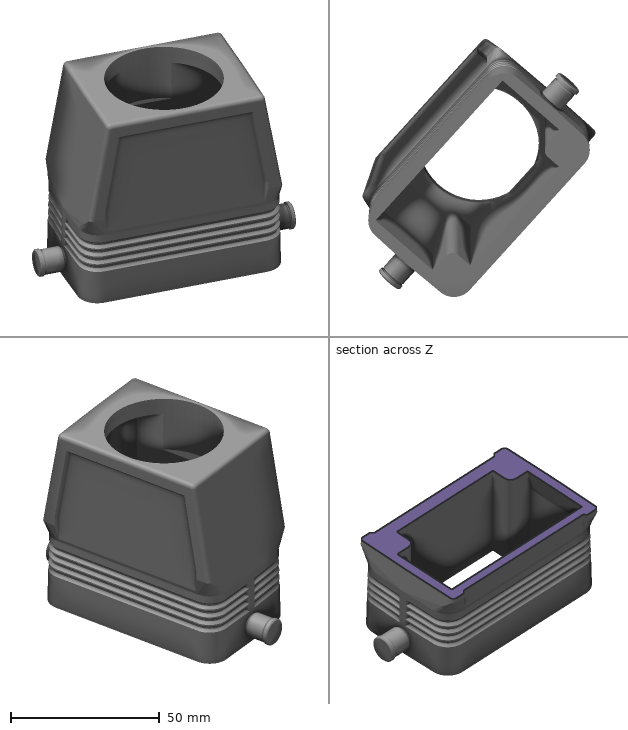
import cadquery as cq
import math


WIDTH = 45.0
LENGTH = 91.2
HEIGHT = 70.0

SKIRT_TOP = 26.5
SKIRT_HALF_WIDTH = 21.6
SKIRT_HALF_LENGTH = 36.5
SKIRT_CORNER_RADIUS = 7.0
DRAFT = math.tan(math.radians(1.0))
END_PEAK_ANGLE = math.radians(1.3)

GROOVE_COUNT = 4
GROOVE_START = 12.2
GROOVE_WIDTH = 2.5
GROOVE_DEPTH = 1.0
GROOVE_FLOOR = 0.6
GROOVE_PITCH = 3.0
WEB_HALF_WIDTH = 1.2

END_SLOPE = math.tan(math.radians(10.0))
BODY_PEAK_SLOPE = math.tan(math.radians(0.5))
BODY_FILLET = 1.55

FLARE_TOP = 33.3
FLARE_CORNER_RADIUS = 1.8
FLARE_END_SLOPE = math.tan(math.radians(6.2))

PANEL_DEPTH = 1.1
PANEL_TOP = 64.9
PANEL_KNEE = 36.0
PANEL_TOP_HALF_LENGTH = 24.35
PANEL_BASE_HALF_LENGTH = 29.3

ENTRY_RADIUS = 20.15
ENTRY_DEPTH = 20.2
ROOF_THICKNESS = 6.1
CAVITY_MIN_X = -18.0
CAVITY_MAX_X = 16.2
END_WALL = 3.8
PILLAR_MIN_X = 7.8
PILLAR_FACE_Y = 22.6
PILLAR_RADIUS = 3.0

PEG_Z = 6.5
PEG_RADIUS = 4.4
PEG_CHAMFER = 0.5
PEG_NECK_RADIUS = 4.0
PEG_NECK_LENGTH = 0.4
PEG_HEAD_RADIUS = 4.7
PEG_HEAD_LENGTH = 1.5
PEG_HEAD_CHAMFER = 0.4

HALF_WIDTH = WIDTH / 2
COLLAR_HALF_LENGTH = SKIRT_HALF_LENGTH - DRAFT * SKIRT_TOP
ROOF_UNDERSIDE = HEIGHT - ROOF_THICKNESS
WEB_ROOT_DEPTH = 2 * GROOVE_DEPTH
OVERSIZE = LENGTH


def peaked_outline(z, half_width, half_length, radius):
    """Rounded rectangle at height z whose two Y ends rise to a shallow central peak."""
    angle = END_PEAK_ANGLE
    center_x = half_width - radius
    center_y = half_length - center_x * math.tan(angle) - radius / math.cos(angle)
    end_x = center_x + radius * math.sin(angle)
    end_y = center_y + radius * math.cos(angle)
    mid_angle = (math.pi / 2 - angle) / 2
    mid_x = center_x + radius * math.cos(mid_angle)
    mid_y = center_y + radius * math.sin(mid_angle)
    outline = (
        cq.Workplane("XY", origin=(0, 0, z))
        .moveTo(half_width, -center_y)
        .lineTo(half_width, center_y)
        .threePointArc((mid_x, mid_y), (end_x, end_y))
        .lineTo(0, half_length)
        .lineTo(-end_x, end_y)
        .threePointArc((-mid_x, mid_y), (-half_width, center_y))
        .lineTo(-half_width, -center_y)
        .threePointArc((-mid_x, -mid_y), (-end_x, -end_y))
        .lineTo(0, -half_length)
        .lineTo(end_x, -end_y)
        .threePointArc((mid_x, -mid_y), (half_width, -center_y))
        .close()
    )
    return outline.val()


def skirt_outline(z, inset=0.0):
    """Skirt section at height z, moved inward by inset."""
    shrink = DRAFT * z + inset
    return peaked_outline(
        z, SKIRT_HALF_WIDTH - shrink, SKIRT_HALF_LENGTH - shrink, SKIRT_CORNER_RADIUS - inset
    )


def ruled_solid(outlines):
    return cq.Workplane(obj=cq.Solid.makeLoft(outlines, True))


def make_skirt():
    """Drafted skirt with trapezoidal grooves, interrupted by a web on each end."""
    wall_height = (GROOVE_WIDTH - GROOVE_FLOOR) / 2
    outlines = [skirt_outline(0)]
    for index in range(GROOVE_COUNT):
        start = GROOVE_START + index * GROOVE_PITCH
        outlines.append(skirt_outline(start))
        outlines.append(skirt_outline(start + wall_height, GROOVE_DEPTH))
        outlines.append(skirt_outline(start + wall_height + GROOVE_FLOOR, GROOVE_DEPTH))
        outlines.append(skirt_outline(start + GROOVE_WIDTH))
    outlines.append(skirt_outline(SKIRT_TOP))
    ribbed = ruled_solid(outlines)

    plain = ruled_solid([skirt_outline(0), skirt_outline(SKIRT_TOP)])
    root_half_length = SKIRT_HALF_LENGTH - WEB_ROOT_DEPTH
    root_half_width = WEB_HALF_WIDTH + WEB_ROOT_DEPTH
    for side in (1, -1):
        web = (
            cq.Workplane("XY")
            .polyline([
                (-root_half_width, side * root_half_length),
                (root_half_width, side * root_half_length),
                (WEB_HALF_WIDTH, side * SKIRT_HALF_LENGTH),
                (-WEB_HALF_WIDTH, side * SKIRT_HALF_LENGTH),
            ])
            .close()
            .extrude(SKIRT_TOP)
        )
        ribbed = ribbed.union(plain.intersect(web))
    return ribbed


def end_y(z):
    """Y of the upper body's end on its peak, at height z."""
    return COLLAR_HALF_LENGTH - END_SLOPE * (z - SKIRT_TOP)


def body_outline(z):
    """Upper body section at height z, before filleting."""
    peak_y = end_y(z)
    corner_y = peak_y - BODY_PEAK_SLOPE * HALF_WIDTH
    return (
        cq.Workplane("XY", origin=(0, 0, z))
        .polyline([
            (HALF_WIDTH, corner_y),
            (0, peak_y),
            (-HALF_WIDTH, corner_y),
            (-HALF_WIDTH, -corner_y),
            (0, -peak_y),
            (HALF_WIDTH, -corner_y),
        ])
        .close()
        .val()
    )


def make_upper_body():
    """Wedge with filleted edges, narrowed to the skirt section through the flare."""
    body = ruled_solid([body_outline(SKIRT_TOP), body_outline(HEIGHT)])
    body = body.edges("((<X or >X) and (not #Z)) or >Z").fillet(BODY_FILLET)
    flare_half_length = COLLAR_HALF_LENGTH - FLARE_END_SLOPE * (FLARE_TOP - SKIRT_TOP)
    flare = ruled_solid([
        skirt_outline(SKIRT_TOP),
        peaked_outline(FLARE_TOP, HALF_WIDTH, flare_half_length, FLARE_CORNER_RADIUS),
    ])
    above_flare = (
        cq.Workplane("XY", origin=(0, 0, FLARE_TOP))
        .rect(OVERSIZE, OVERSIZE)
        .extrude(HEIGHT)
    )
    return body.intersect(flare.union(above_flare))


def panel_outline(x, inset):
    """Panel border on the plane at x; the lower end runs out on the flare."""
    top_half = PANEL_TOP_HALF_LENGTH - inset
    base_half = PANEL_BASE_HALF_LENGTH - inset
    return (
        cq.Workplane("YZ", origin=(x, 0, 0))
        .polyline([
            (-base_half, SKIRT_TOP),
            (base_half, SKIRT_TOP),
            (base_half, PANEL_KNEE),
            (top_half, PANEL_TOP - inset),
            (-top_half, PANEL_TOP - inset),
            (-base_half, PANEL_KNEE),
        ])
        .close()
        .val()
    )


def make_panel_cut():
    """Panel recess on the -X side with 45 degree walls."""
    return ruled_solid([
        panel_outline(-HALF_WIDTH, 0),
        panel_outline(-HALF_WIDTH + PANEL_DEPTH, PANEL_DEPTH),
    ])


def make_pillar(side):
    """Rounded pillar in the +X corner of the cavity, on the Y end given by side."""
    depth = COLLAR_HALF_LENGTH - PILLAR_FACE_Y
    width = CAVITY_MAX_X - PILLAR_MIN_X
    pillar = (
        cq.Workplane("XY")
        .box(width, depth, ROOF_UNDERSIDE, centered=False)
        .translate((PILLAR_MIN_X, PILLAR_FACE_Y, 0))
        .edges("|Z and <X and <Y")
        .fillet(PILLAR_RADIUS)
    )
    return pillar if side > 0 else pillar.mirror("XZ")


def make_cavity():
    """Inside space: straight within the skirt, sloped ends above, less the pillars."""
    base_y = end_y(SKIRT_TOP) - END_WALL
    roof_y = end_y(ROOF_UNDERSIDE) - END_WALL
    cavity = (
        cq.Workplane("YZ", origin=(CAVITY_MIN_X, 0, 0))
        .polyline([
            (-base_y, 0),
            (base_y, 0),
            (base_y, SKIRT_TOP),
            (roof_y, ROOF_UNDERSIDE),
            (-roof_y, ROOF_UNDERSIDE),
            (-base_y, SKIRT_TOP),
        ])
        .close()
        .extrude(CAVITY_MAX_X - CAVITY_MIN_X)
    )
    for side in (1, -1):
        cavity = cavity.cut(make_pillar(side))
    return cavity


def make_entry():
    return (
        cq.Workplane("XY", origin=(0, 0, HEIGHT - ENTRY_DEPTH))
        .circle(ENTRY_RADIUS)
        .extrude(ENTRY_DEPTH)
    )


def make_peg():
    """Turned locking peg on the +Y end: neck, chamfered shank, neck and head."""
    root = SKIRT_HALF_LENGTH - END_WALL / 2
    tip = LENGTH / 2
    head_start = tip - PEG_HEAD_LENGTH
    shank_start = SKIRT_HALF_LENGTH + PEG_NECK_LENGTH / 2
    shank_end = head_start - PEG_NECK_LENGTH
    shoulder_radius = PEG_RADIUS - PEG_CHAMFER
    half_profile = (
        cq.Workplane("XY")
        .polyline([
            (0, root),
            (shoulder_radius, root),
            (shoulder_radius, shank_start),
            (PEG_RADIUS, shank_start + PEG_CHAMFER),
            (PEG_RADIUS, shank_end - PEG_CHAMFER),
            (PEG_NECK_RADIUS, shank_end),
            (PEG_NECK_RADIUS, head_start),
            (PEG_HEAD_RADIUS, head_start),
            (PEG_HEAD_RADIUS, tip - PEG_HEAD_CHAMFER),
            (PEG_HEAD_RADIUS - PEG_HEAD_CHAMFER, tip),
            (0, tip),
        ])
        .close()
    )
    return half_profile.revolve(360, (0, 0, 0), (0, 1, 0)).translate((0, 0, PEG_Z))


hood = make_skirt().union(make_upper_body())
panel_cut = make_panel_cut()
peg = make_peg()
hood = hood.cut(panel_cut).cut(panel_cut.mirror("YZ"))
hood = hood.cut(make_cavity()).cut(make_entry())
result = hood.union(peg).union(peg.mirror("XZ"))